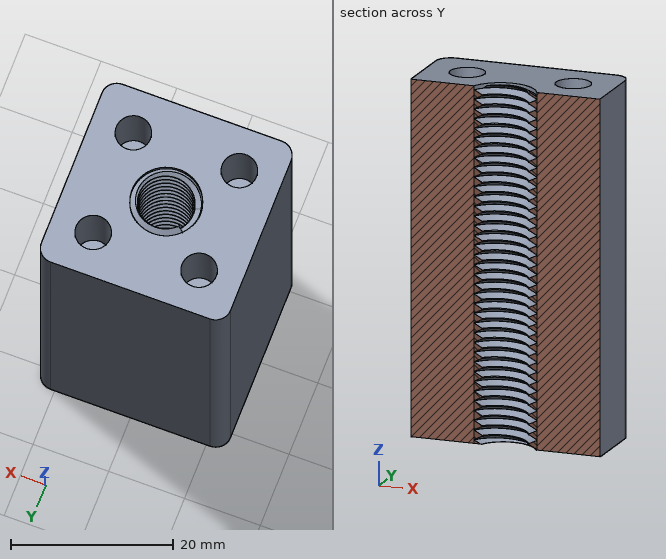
import cadquery as cq
import math

WIDTH = 25.0
HEIGHT = 46.0
CORNER_RADIUS = 2.0

MOUNT_HOLE_DIAMETER = 4.5
MOUNT_HOLE_SPACING = 14.0
MOUNT_HOLE_DEPTH = 2 * MOUNT_HOLE_DIAMETER

BORE_DIAMETER = 9.0
CREST_DIAMETER = 7.15
THREAD_TURNS = 36.8
FLANK_ANGLE = 30.0
CREST_WIDTH = 0.15
THREAD_START_ANGLE = 190.0

THREAD_PITCH = HEIGHT / THREAD_TURNS
END_ALLOWANCE = 1


def make_housing():
    block = (
        cq.Workplane("XY")
        .rect(WIDTH, WIDTH)
        .extrude(HEIGHT)
        .edges("|Z")
        .fillet(CORNER_RADIUS)
    )
    bored = block.faces(">Z").workplane().hole(BORE_DIAMETER)
    return (
        bored.faces(">Z")
        .workplane()
        .rect(MOUNT_HOLE_SPACING, MOUNT_HOLE_SPACING, forConstruction=True)
        .vertices()
        .hole(MOUNT_HOLE_DIAMETER, MOUNT_HOLE_DEPTH)
    )


def thread_profile():
    """Ridge section as (radius, height) points: narrow at the crest, wide at the bore wall."""
    crest_radius = CREST_DIAMETER / 2
    root_radius = BORE_DIAMETER / 2
    half_crest = CREST_WIDTH / 2
    half_root = half_crest + (root_radius - crest_radius) * math.tan(math.radians(FLANK_ANGLE))
    return [
        (crest_radius, -half_crest),
        (crest_radius, half_crest),
        (root_radius, half_root),
        (root_radius, -half_root),
    ]


def make_trim_envelope():
    """Housing height span, with a conical top that slopes down from the crest to the bore wall."""
    crest_radius = CREST_DIAMETER / 2
    outer_radius = WIDTH / 2
    outer_drop = (outer_radius - crest_radius) * math.tan(math.radians(FLANK_ANGLE))
    return (
        cq.Workplane("XZ")
        .moveTo(0, 0)
        .lineTo(outer_radius, 0)
        .lineTo(outer_radius, HEIGHT - outer_drop)
        .lineTo(crest_radius, HEIGHT)
        .lineTo(0, HEIGHT)
        .close()
        .revolve(360, (0, 0, 0), (0, 1, 0))
    )


def make_thread():
    """Helical ridge built turn by turn from ruled faces, then trimmed at both ends."""
    profile = thread_profile()
    turns = math.ceil(THREAD_TURNS) + 2 * END_ALLOWANCE
    bottom = -END_ALLOWANCE * THREAD_PITCH
    top = bottom + turns * THREAD_PITCH

    helices = [
        cq.Wire.makeHelix(THREAD_PITCH, THREAD_PITCH, radius).translate(cq.Vector(0, 0, height))
        for radius, height in profile
    ]
    turn_faces = [
        cq.Face.makeRuledSurface(helix, following)
        for helix, following in zip(helices, helices[1:] + helices[:1])
    ]
    faces = [
        face.translate(cq.Vector(0, 0, bottom + turn * THREAD_PITCH))
        for turn in range(turns)
        for face in turn_faces
    ]
    for end in (bottom, top):
        corners = [cq.Vector(radius, 0, end + height) for radius, height in profile]
        faces.append(cq.Face.makeFromWires(cq.Wire.makePolygon(corners, close=True)))

    ridge = cq.Solid.makeSolid(cq.Shell.makeShell(faces))
    return (
        cq.Workplane(ridge)
        .rotate((0, 0, 0), (0, 0, 1), THREAD_START_ANGLE)
        .intersect(make_trim_envelope())
    )


housing = make_housing()
thread = make_thread()

result = cq.Compound.makeCompound([housing.val(), *thread.vals()])